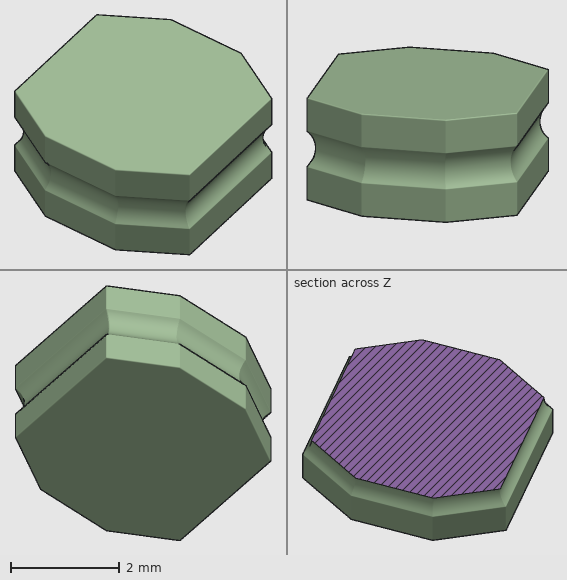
import cadquery as cq
import math

width = 3.99
height = 2.0
end_flat = 1.595
corner_angle = 30.0
groove_width = 0.7
groove_radius = 0.5
edge_radius = 0.025

half_width = width / 2
half_end_flat = end_flat / 2
corner_drop = (half_width - half_end_flat) * math.tan(math.radians(corner_angle))
half_side_flat = half_width - corner_drop
groove_axis_offset = math.sqrt(groove_radius**2 - (groove_width / 2) ** 2)

right_half = [
    (half_end_flat, -half_width),
    (half_width, -half_side_flat),
    (half_width, half_side_flat),
    (half_end_flat, half_width),
]
left_half = [(-x, -y) for x, y in right_half]
corners = right_half + left_half


def octagonal_block():
    """Eight-sided prism centred on the origin."""
    return cq.Workplane("XY").polyline(corners).close().extrude(height / 2, both=True)


def groove_cutter(start, end):
    """Horizontal cylinder lying along one side face, running past both its corners."""
    along = (cq.Vector(*end) - cq.Vector(*start)).normalized()
    outward = along.cross(cq.Vector(0, 0, 1))
    middle = (cq.Vector(*start) + cq.Vector(*end)) / 2
    axis_start = middle + outward * groove_axis_offset - along * half_width
    return cq.Solid.makeCylinder(groove_radius, width, axis_start, along)


body = octagonal_block()
for index, corner in enumerate(corners):
    next_corner = corners[(index + 1) % len(corners)]
    body = body.cut(cq.Workplane(groove_cutter(corner, next_corner)))

result = body.edges().fillet(edge_radius)